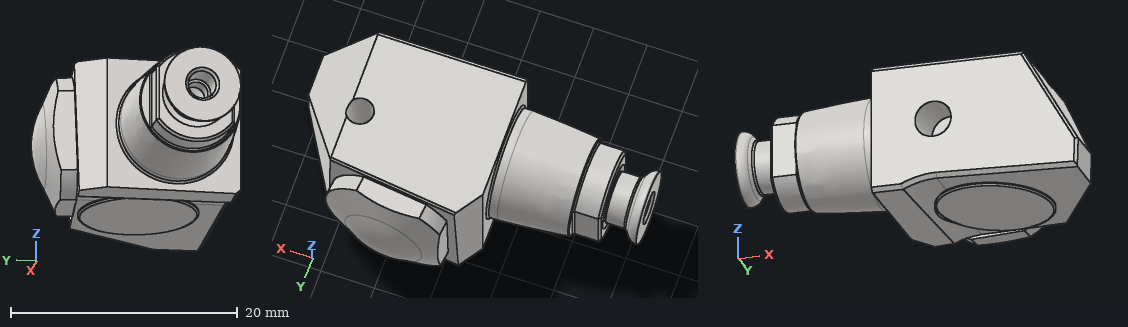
import cadquery as cq
import math

FRONT_Y = -5.9
TOP_Z = 6.0
BOTTOM_Z = -5.9
LENGTH = 32.4
MARGIN = 3.25

FLANGE_R = 3.4
FLANGE_RIM = 0.13
FLANGE_EDGE_X = 1.0
FLANGE_EDGE_R = 2.85
FLANGE_BULGE = (0.65, 3.25)
NECK_FLARE_X = 1.3
NECK_FLARE_R = 2.5
NECK_START_X = 1.5
NECK_R = 2.4
STEM_R = 2.3
STEM_CHAMFER = NECK_R - STEM_R
BORE_R = 1.247
BORE_MOUTH_R = 1.505
BORE_DEPTH = 2.9
DRILL_R = 1.0
DRILL_DEPTH = 4.55
DRILL_HALF_ANGLE = 59.0

COLLAR_X = 3.3
COLLAR_END_X = 5.9
COLLAR_R = 4.28
COLLAR_CHAMFER = 0.23
COLLAR_FLARE = 0.15
FLAT_Y = 3.5
COUNTERSINK_R = 2.98
COUNTERSINK_DEPTH = 0.3

BOSS_TIP_R = 4.55
BOSS_TIP_CHAMFER = 0.1
BOSS_BULGE = (9.25, 4.85)
BOSS_TAPER_END_X = 12.4
BOSS_R = 5.1
BOSS_FOOT = 0.2

BLOCK_X = 13.38
SHOULDER_Y = 6.1
BACK_CORNER_X = 15.15
BACK_CORNER_Y = 8.7
SNOUT_X = 27.2
SNOUT_ANGLE = 60.0
END_LEAN = 0.1
TOP_CHAMFER = 0.5
BOTTOM_CHAMFER = 0.4
SNOUT_CHAMFER = 0.25
BACK_CHAMFER = 0.2

BACK_FALL_X = 0.117
BACK_RISE_Z = 0.036

BOTTOM_FALL_X = 0.035
BOTTOM_FALL_Y = 0.017
BOTTOM_START_X = 19.3
BOTTOM_START_Z = -5.2
RUNOUT_R = 7.13
RUNOUT_DEPTH = 1.3

FRONT_HOLE_X = 19.08
FRONT_HOLE_Z = 0.32
FRONT_HOLE_D = 3.3
FRONT_HOLE_DEPTH = 3.55

TOP_HOLE_X = 26.28
TOP_HOLE_Y = 2.07
TOP_HOLE_D = 2.5
TOP_HOLE_DEPTH = 11.35
TOP_HOLE_AXIS = (-0.037, -0.038, -1)

CAP_X = 20.9
CAP_Z = -0.05
CAP_R = 6.22
CAP_WALL = 1.45
CAP_RING_R = 3.75
CAP_RING_HEIGHT = 2.6
CAP_HEIGHT = 3.63
CAP_FLAT_LEFT = 5.05
CAP_FLAT_TOP = 5.4
CAP_FLAT_BOTTOM = 5.67

PLUG_X = 22.52
PLUG_Y = 1.62
PLUG_R = 5.35
PLUG_POCKET_DEPTH = 0.5
PLUG_PROUD = 0.25
PLUG_CHAMFER = 0.15


BACK_NORMAL = (BACK_FALL_X, 1, -BACK_RISE_Z)
BOTTOM_NORMAL = (-BOTTOM_FALL_X, -BOTTOM_FALL_Y, -1)


def back_face_y(x, z):
    """Y of the tilted back face."""
    return BACK_CORNER_Y - BACK_FALL_X * (x - BACK_CORNER_X) - BACK_RISE_Z * (TOP_Z - z)


def bottom_face_z(x, y):
    """Z of the tilted bottom face."""
    return (BOTTOM_START_Z - BOTTOM_FALL_X * (x - BOTTOM_START_X)
            - BOTTOM_FALL_Y * (y - FRONT_Y))


def back_plane(x, z):
    """Plane on the back face; local x runs along the face, local y runs down."""
    origin = (x, back_face_y(x, z), z)
    return cq.Plane(origin=origin, xDir=(1, -BACK_FALL_X, 0), normal=BACK_NORMAL)


def bottom_plane(x, y):
    """Plane on the bottom face, facing out of the housing."""
    origin = (x, y, bottom_face_z(x, y))
    return cq.Plane(origin=origin, xDir=(1, 0, -BOTTOM_FALL_X), normal=BOTTOM_NORMAL)


def turned(profile):
    """Revolve a closed (X, radius) outline about the nozzle axis."""
    return profile.close().revolve(360, (0, 0, 0), (1, 0, 0))


def make_nipple():
    outer = turned(
        cq.Workplane("XY")
        .moveTo(0, 0)
        .lineTo(0, FLANGE_R)
        .lineTo(FLANGE_RIM, FLANGE_R)
        .threePointArc(FLANGE_BULGE, (FLANGE_EDGE_X, FLANGE_EDGE_R))
        .lineTo(NECK_FLARE_X, NECK_FLARE_R)
        .lineTo(NECK_START_X, NECK_R)
        .lineTo(COLLAR_X - STEM_CHAMFER, NECK_R)
        .lineTo(COLLAR_X, STEM_R)
        .lineTo(COLLAR_END_X, STEM_R)
        .lineTo(COLLAR_END_X, 0)
    )
    drill_tip = DRILL_R / math.tan(math.radians(DRILL_HALF_ANGLE))
    bore = turned(
        cq.Workplane("XY")
        .moveTo(0, 0)
        .lineTo(0, BORE_MOUTH_R)
        .lineTo(BORE_MOUTH_R - BORE_R, BORE_R)
        .lineTo(BORE_DEPTH, BORE_R)
        .lineTo(BORE_DEPTH, DRILL_R)
        .lineTo(DRILL_DEPTH, DRILL_R)
        .lineTo(DRILL_DEPTH + drill_tip, 0)
    )
    return outer.cut(bore)


def make_collar():
    flare_x = COLLAR_END_X - COLLAR_FLARE
    ring = turned(
        cq.Workplane("XY")
        .moveTo(COLLAR_X, COUNTERSINK_R)
        .lineTo(COLLAR_X, COLLAR_R - COLLAR_CHAMFER)
        .lineTo(COLLAR_X + COLLAR_CHAMFER, COLLAR_R)
        .lineTo(flare_x, COLLAR_R)
        .lineTo(COLLAR_END_X, COLLAR_R + COLLAR_FLARE)
        .lineTo(COLLAR_END_X, STEM_R)
        .lineTo(COLLAR_X + COUNTERSINK_DEPTH, STEM_R)
    )
    outside = COLLAR_R + MARGIN
    flat = (
        cq.Workplane("XY")
        .moveTo(COLLAR_X, FLAT_Y - COLLAR_CHAMFER)
        .lineTo(COLLAR_X + COLLAR_CHAMFER, FLAT_Y)
        .lineTo(flare_x, FLAT_Y)
        .lineTo(COLLAR_END_X, FLAT_Y + COLLAR_FLARE)
        .lineTo(COLLAR_END_X, outside)
        .lineTo(COLLAR_X, outside)
        .close()
        .extrude(outside, both=True)
    )
    return ring.cut(flat).cut(flat.mirror("XZ"))


def make_block():
    """Block with its two snout slopes, before the tilted faces are cut."""
    slope = math.tan(math.radians(SNOUT_ANGLE))
    snout_drop = slope * (LENGTH - SNOUT_X)
    snout_y = back_face_y(SNOUT_X, TOP_Z)
    back_y = BACK_CORNER_Y + MARGIN
    shoulder_slope = (BACK_CORNER_Y - SHOULDER_Y) / (BACK_CORNER_X - BLOCK_X)
    plan = (
        cq.Workplane("XY", origin=(0, 0, BOTTOM_Z))
        .moveTo(BLOCK_X, FRONT_Y)
        .lineTo(LENGTH, FRONT_Y)
        .lineTo(LENGTH, snout_y - snout_drop)
        .lineTo(SNOUT_X - (back_y - snout_y) / slope, back_y)
        .lineTo(BLOCK_X + (back_y - SHOULDER_Y) / shoulder_slope, back_y)
        .lineTo(BLOCK_X, SHOULDER_Y)
        .close()
        .extrude(TOP_Z - BOTTOM_Z)
    )
    side = (
        cq.Workplane("XZ")
        .moveTo(BLOCK_X, BOTTOM_Z)
        .lineTo(LENGTH - END_LEAN, BOTTOM_Z)
        .lineTo(LENGTH, TOP_Z - snout_drop)
        .lineTo(SNOUT_X, TOP_Z)
        .lineTo(BLOCK_X, TOP_Z)
        .close()
        .extrude(LENGTH, both=True)
    )
    return plan.intersect(side)


def back_cut():
    """Everything behind the tilted back face."""
    return cq.Workplane(back_plane(CAP_X, CAP_Z)).rect(LENGTH, LENGTH).extrude(2 * MARGIN)


def bottom_cut():
    """Material under the tilted bottom face, with its round run-out on the left."""
    plane = cq.Plane(
        origin=(BOTTOM_START_X, FRONT_Y, BOTTOM_START_Z),
        xDir=(1, 0, 0),
        normal=(0, 1, -BOTTOM_FALL_Y),
    )
    reach = LENGTH - BOTTOM_START_X + MARGIN
    runout_x = -math.sqrt(RUNOUT_R**2 - (RUNOUT_R - RUNOUT_DEPTH)**2)
    half = math.asin(-runout_x / RUNOUT_R) / 2
    arc_middle = (-RUNOUT_R * math.sin(half), RUNOUT_R * (1 - math.cos(half)))
    return (
        cq.Workplane(plane)
        .moveTo(runout_x, RUNOUT_DEPTH)
        .threePointArc(arc_middle, (0, 0))
        .lineTo(reach, BOTTOM_FALL_X * reach)
        .lineTo(reach, RUNOUT_DEPTH + MARGIN)
        .lineTo(runout_x, RUNOUT_DEPTH + MARGIN)
        .close()
        .extrude(LENGTH, both=True)
    )


def make_boss():
    foot_x = BLOCK_X - BOSS_FOOT
    return turned(
        cq.Workplane("XY")
        .moveTo(COLLAR_END_X, 0)
        .lineTo(COLLAR_END_X, BOSS_TIP_R - BOSS_TIP_CHAMFER)
        .lineTo(COLLAR_END_X + BOSS_TIP_CHAMFER, BOSS_TIP_R)
        .threePointArc(BOSS_BULGE, (BOSS_TAPER_END_X, BOSS_R))
        .lineTo(foot_x, BOSS_R)
        .lineTo(BLOCK_X, BOSS_R + BOSS_FOOT)
        .lineTo(BLOCK_X, 0)
    )


def tilted_hole(start, normal, diameter, depth):
    """Drill that starts a little outside the face and goes `depth` past it along `normal`."""
    axis = cq.Vector(*normal).normalized()
    mouth = cq.Vector(*start) - axis * MARGIN
    return cq.Workplane(cq.Plane(mouth, normal=normal)).circle(diameter / 2).extrude(depth + MARGIN)


def plug_blank(proud):
    """Plain disc from the floor of the plug pocket to `proud` outside the bottom face."""
    return (
        cq.Workplane(bottom_plane(PLUG_X, PLUG_Y))
        .workplane(offset=-PLUG_POCKET_DEPTH)
        .circle(PLUG_R)
        .extrude(PLUG_POCKET_DEPTH + proud)
    )


def front_edges(block, where):
    """Edges of the front face chosen by a test on their middle points."""
    edges = block.faces("<Y").edges().vals()
    return block.newObject([edge for edge in edges if where(edge.Center())])


def make_housing():
    block = make_block().cut(back_cut()).cut(bottom_cut())
    middle_x = (BLOCK_X + LENGTH) / 2

    block = block.faces(">Z").edges(">Y").chamfer(BACK_CHAMFER)
    block = front_edges(block, lambda c: c.z > TOP_Z - 0.03).chamfer(TOP_CHAMFER)
    block = front_edges(block, lambda c: c.z < BOTTOM_START_Z + 0.32).chamfer(BOTTOM_CHAMFER)
    block = front_edges(
        block, lambda c: c.x > middle_x and abs(c.z) < 4.85
    ).chamfer(SNOUT_CHAMFER)

    front_start = (FRONT_HOLE_X, FRONT_Y, FRONT_HOLE_Z)
    top_start = (TOP_HOLE_X, TOP_HOLE_Y, TOP_Z)
    return (
        block.union(make_boss())
        .cut(tilted_hole(front_start, BACK_NORMAL, FRONT_HOLE_D, FRONT_HOLE_DEPTH))
        .cut(tilted_hole(top_start, TOP_HOLE_AXIS, TOP_HOLE_D, TOP_HOLE_DEPTH))
        .cut(plug_blank(MARGIN))
    )


def make_cap():
    dome_rise = CAP_HEIGHT - CAP_RING_HEIGHT
    dome_r = (CAP_RING_R**2 + dome_rise**2) / (2 * dome_rise)
    half = math.asin(CAP_RING_R / dome_r) / 2
    dome_middle = (dome_r * math.sin(half), CAP_HEIGHT - dome_r * (1 - math.cos(half)))
    base = back_plane(CAP_X, CAP_Z)
    section = cq.Plane(origin=base.origin, xDir=base.xDir, normal=base.yDir * -1)
    dome = (
        cq.Workplane(section)
        .lineTo(CAP_R, 0)
        .lineTo(CAP_R, CAP_WALL)
        .lineTo(CAP_RING_R, CAP_RING_HEIGHT)
        .threePointArc(dome_middle, (0, CAP_HEIGHT))
        .close()
        .revolve(360, (0, 0, 0), (0, 1, 0))
    )
    sides = (
        cq.Workplane(base)
        .moveTo(-CAP_FLAT_LEFT, -CAP_FLAT_TOP)
        .lineTo(CAP_R, -CAP_FLAT_TOP)
        .lineTo(CAP_R, CAP_FLAT_BOTTOM)
        .lineTo(-CAP_FLAT_LEFT, CAP_FLAT_BOTTOM)
        .close()
        .extrude(CAP_HEIGHT)
    )
    return dome.intersect(sides)


def make_plug():
    return plug_blank(PLUG_PROUD).faces("<Z").edges().chamfer(PLUG_CHAMFER)


nipple = make_nipple()
collar = make_collar()
housing = make_housing()
cap = make_cap()
plug = make_plug()

result = cq.Compound.makeCompound(
    [nipple.val(), collar.val(), housing.val(), cap.val(), plug.val()]
)